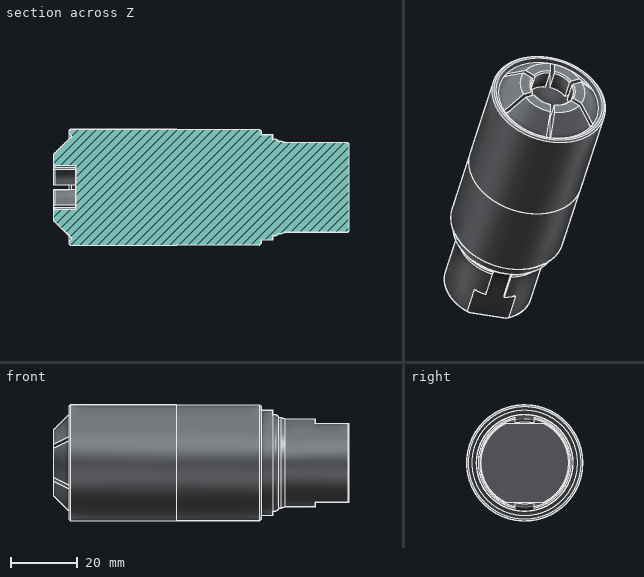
import cadquery as cq

length = 88.9
body_radius = 17.5
rear_body_radius = 34.9 / 2
body_front = 4.6
body_joint = 37.1
body_rear = 62.5
edge_chamfer = 0.5
collar_radius = 31.7 / 2
collar_rear = 65.95

tail_radius = 13.5
tail_start = 69.7
tail_chamfer = 0.35
ring_radius = 13.95
ring_end = 68.35

seal_tube_radius = 1.3
seal_center = collar_rear + 0.5
seal_center_radius = 13.2

nose_radius = 9.95
nose_base_radius = 15.4
nose_base = 5.5
rim_inner_radius = 16.35

socket_radius = 6.6
socket_chamfer = 0.4
socket_depth = 6.7
slot_width = 1.3
slot_count = 6

flat_height = 11.9
flat_start = 78.75
keyway_width = 5.7
keyway_start = 67.5


def make_body():
    """Revolve the stepped outer profile about the X axis."""
    profile = [
        (0, 0),
        (0, nose_radius),
        (nose_base, nose_base_radius),
        (body_front, rim_inner_radius),
        (body_front, body_radius - edge_chamfer),
        (body_front + edge_chamfer, body_radius),
        (body_joint, body_radius),
        (body_joint, rear_body_radius),
        (body_rear - edge_chamfer, rear_body_radius),
        (body_rear, rear_body_radius - edge_chamfer),
        (body_rear, collar_radius),
        (collar_rear, collar_radius),
        (collar_rear, ring_radius),
        (ring_end, ring_radius),
        (tail_start, tail_radius),
        (length - tail_chamfer, tail_radius),
        (length, tail_radius - tail_chamfer),
        (length, 0),
    ]
    return cq.Workplane("XY").polyline(profile).close().revolve(360, (0, 0, 0), (1, 0, 0))


def make_socket():
    """Blind round socket with a chamfered mouth."""
    profile = [
        (0, 0),
        (0, socket_radius + socket_chamfer),
        (socket_chamfer, socket_radius),
        (socket_depth, socket_radius),
        (socket_depth, 0),
    ]
    return cq.Workplane("XY").polyline(profile).close().revolve(360, (0, 0, 0), (1, 0, 0))


def make_nose_slot(angle):
    """Radial slot from the axis to the base of the nose cone."""
    slot = cq.Workplane("XY").box(
        socket_depth, slot_width, nose_base_radius, centered=(False, True, False)
    )
    return slot.rotate((0, 0, 0), (1, 0, 0), angle)


def make_tail_cut(start, width):
    """Cutter that leaves a floor at the flat height, from start to the tail end."""
    return (
        cq.Workplane("XY")
        .box(length - start, width, body_radius, centered=(False, True, False))
        .translate((start, 0, flat_height))
    )


def make_seal():
    """Round-section ring that also bulges into the keyway ends."""
    return (
        cq.Workplane("XY")
        .center(seal_center, seal_center_radius)
        .circle(seal_tube_radius)
        .revolve(360, (-seal_center, -seal_center_radius, 0), (0.9 - seal_center, -seal_center_radius, 0))
    )


result = make_body().cut(make_socket())

for index in range(slot_count):
    result = result.cut(make_nose_slot(index * 360 / slot_count))

for angle in (0, 180):
    for start, width in ((flat_start, 2 * tail_radius), (keyway_start, keyway_width)):
        result = result.cut(make_tail_cut(start, width).rotate((0, 0, 0), (1, 0, 0), angle))

result = result.union(make_seal())